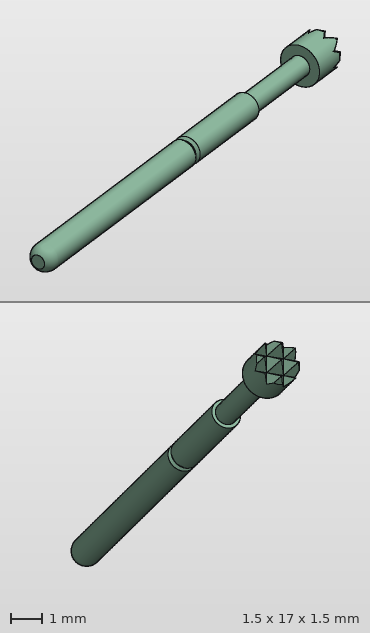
import cadquery as cq
import math

total_length = 17.0

barrel_radius = 0.5
barrel_length = 12.3
tail_flat_radius = 0.25
tail_length = math.sqrt(barrel_radius**2 - tail_flat_radius**2)

groove_center = 8.7
groove_width = 0.25
groove_depth = 0.1
groove_floor_width = groove_width - 2 * groove_depth

stem_radius = 0.375
head_radius = 0.75
head_length = 1.5
head_base = total_length - head_length

tooth_pitch = 0.585
tooth_depth = 0.55
tooth_half_pitch = tooth_pitch / 2
valleys_per_side = 2


def make_body():
    """Revolve the half profile of tail, barrel, stem and head about the Y axis."""
    arc_angle = math.asin(tail_length / barrel_radius) / 2
    arc_middle = (
        tail_length - barrel_radius * math.sin(arc_angle),
        barrel_radius * math.cos(arc_angle),
    )
    profile = (
        cq.Workplane("YZ")
        .moveTo(0, 0)
        .lineTo(0, tail_flat_radius)
        .threePointArc(arc_middle, (tail_length, barrel_radius))
        .lineTo(groove_center - groove_width / 2, barrel_radius)
        .lineTo(groove_center - groove_floor_width / 2, barrel_radius - groove_depth)
        .lineTo(groove_center + groove_floor_width / 2, barrel_radius - groove_depth)
        .lineTo(groove_center + groove_width / 2, barrel_radius)
        .lineTo(barrel_length, barrel_radius)
        .lineTo(barrel_length, stem_radius)
        .lineTo(head_base, stem_radius)
        .lineTo(head_base, head_radius)
        .lineTo(total_length, head_radius)
        .lineTo(total_length, 0)
        .close()
    )
    return profile.revolve(360, (0, 0), (1, 0))


def make_valley(center_x):
    """V-shaped cutter running along Z across the whole head."""
    return (
        cq.Workplane("XY")
        .moveTo(center_x - tooth_half_pitch, total_length)
        .lineTo(center_x, total_length - tooth_depth)
        .lineTo(center_x + tooth_half_pitch, total_length)
        .close()
        .extrude(2 * head_radius, both=True)
    )


def cut_crown(body):
    """Cut parallel valleys along Z, then the same set turned to run along X."""
    for index in range(-valleys_per_side, valleys_per_side):
        valley = make_valley((index + 0.5) * tooth_pitch)
        crossing_valley = valley.rotate((0, 0, 0), (0, 1, 0), 90)
        body = body.cut(valley).cut(crossing_valley)
    return body


result = cut_crown(make_body())